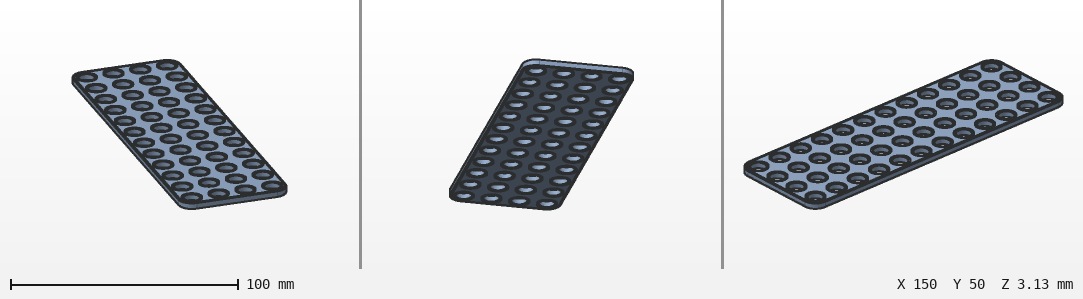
import cadquery as cq

length = 150.0
columns = 12
rows = 4
hole_diameter = 7.0
collar_diameter = 9.2
border_width = 0.8
recess_depth = 0.2
chamfer = 0.3

pitch = length / columns
width = rows * pitch
thickness = pitch / 4
corner_radius = pitch / 2


def rounded_slab(inset, height):
    """Slab following the plate outline, moved inwards by the inset, standing on Z = 0."""
    slab = cq.Workplane("XY").rect(length - 2 * inset, width - 2 * inset).extrude(height)
    return slab.edges("|Z").fillet(corner_radius - inset)


def at_hole_positions(shape):
    """Copies of a shape at every point of the hole grid."""
    grid = cq.Workplane("XY").rarray(pitch, pitch, columns, rows)
    return grid.eachpoint(lambda place: shape.moved(place))


def make_plate():
    """Rounded plate centred on the origin, with chamfered top and bottom rims."""
    plate = rounded_slab(0, thickness).translate((0, 0, -thickness / 2))
    return plate.faces("<Z or >Z").edges().chamfer(chamfer)


def make_field():
    """Shallow recess inside the border that leaves a collar around every hole."""
    collar = cq.Solid.makeCylinder(collar_diameter / 2, recess_depth)
    return rounded_slab(border_width, recess_depth).cut(at_hole_positions(collar))


def make_hole():
    """Through-hole centred on the origin, with a chamfer at each end."""
    half_height = thickness / 2
    hole_radius = hole_diameter / 2
    rim_radius = hole_radius + chamfer
    profile = (
        cq.Workplane("XZ")
        .moveTo(0, -half_height)
        .lineTo(rim_radius, -half_height)
        .lineTo(hole_radius, -half_height + chamfer)
        .lineTo(hole_radius, half_height - chamfer)
        .lineTo(rim_radius, half_height)
        .lineTo(0, half_height)
        .close()
    )
    return profile.revolve(360, (0, 0, 0), (0, 1, 0)).val()


field = make_field()
top_field = field.translate((0, 0, thickness / 2 - recess_depth))
bottom_field = field.translate((0, 0, -thickness / 2))

result = make_plate().cut(top_field).cut(bottom_field).cut(at_hole_positions(make_hole()))